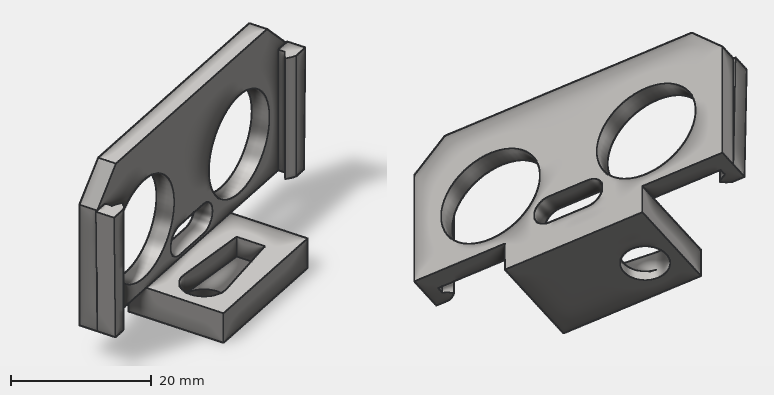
import cadquery as cq
import math

plate_thickness = 3.0
plate_width = 51.5
plate_top = 30.55
plate_bottom = 5.0
corner_chamfer = 5.1

window_diameter = 16.5
window_spacing = 26.0
window_height = 15.3
slot_length = 11.45
slot_height = 5.0
slot_center_height = 8.05

foot_depth = 15.8
foot_width = 23.0
foot_center_y = -0.9

keyhole_x = 9.35
keyhole_y = -7.05
keyhole_diameter = 7.1
pocket_end_y = 5.7
pocket_end_width = 4.7
pocket_depth = 3.35

overall_width = 52.25
rail_top = plate_top - corner_chamfer
rail_depth = 3.05
rail_width = 2.5
barb_start = 1.15
barb_height = 1.4
barb_bulge = 0.1


def make_plate():
    """Plate with chamfered upper corners, flush foot front, windows and slot."""
    half = plate_width / 2
    shoulder = half - corner_chamfer
    foot_min_y = foot_center_y - foot_width / 2
    foot_max_y = foot_center_y + foot_width / 2
    outline = [
        (foot_min_y, 0),
        (foot_max_y, 0),
        (foot_max_y, plate_bottom),
        (half, plate_bottom),
        (half, rail_top),
        (shoulder, plate_top),
        (-shoulder, plate_top),
        (-half, rail_top),
        (-half, plate_bottom),
        (foot_min_y, plate_bottom),
    ]
    plate = cq.Workplane("YZ").polyline(outline).close().extrude(plate_thickness)
    windows = (
        cq.Workplane("YZ")
        .pushPoints([(-window_spacing / 2, window_height), (window_spacing / 2, window_height)])
        .circle(window_diameter / 2)
        .extrude(plate_thickness)
    )
    slot = (
        cq.Workplane("YZ")
        .center(0, slot_center_height)
        .slot2D(slot_length, slot_height)
        .extrude(plate_thickness)
    )
    return plate.cut(windows).cut(slot)


def make_foot():
    """Foot block with the keyhole cut into it."""
    foot = cq.Workplane("XY", origin=(0, foot_center_y, 0)).box(
        foot_depth, foot_width, plate_bottom, centered=(False, True, False)
    )
    radius = keyhole_diameter / 2
    length = pocket_end_y - keyhole_y
    reach = math.hypot(length, pocket_end_width / 2)
    angle = math.acos(radius / reach) - math.atan2(length, pocket_end_width / 2)
    tangent_x = radius * math.cos(angle)
    tangent_y = keyhole_y - radius * math.sin(angle)
    pocket = (
        cq.Workplane("XY", origin=(keyhole_x, 0, plate_bottom - pocket_depth))
        .polyline(
            [
                (-tangent_x, tangent_y),
                (tangent_x, tangent_y),
                (pocket_end_width / 2, pocket_end_y),
                (-pocket_end_width / 2, pocket_end_y),
            ]
        )
        .close()
        .extrude(pocket_depth)
    )
    hole = cq.Workplane("XY").center(keyhole_x, keyhole_y).circle(radius).extrude(plate_bottom)
    return foot.cut(pocket).cut(hole)


def rail_section(height, outer_y):
    """Closed hook profile at one height, with its outer face at outer_y."""
    inner_y = overall_width / 2 - rail_width
    tip_y = inner_y - barb_height
    barb_width = rail_depth - barb_start
    tip_x = barb_start + barb_width / 2
    flank_y = (inner_y + tip_y) / 2
    near_flank_x = barb_start + barb_width / 4 - barb_bulge
    far_flank_x = rail_depth - barb_width / 4 + barb_bulge
    return (
        cq.Workplane("XY", origin=(plate_thickness, 0, height))
        .moveTo(0, outer_y)
        .lineTo(0, inner_y)
        .lineTo(barb_start, inner_y)
        .threePointArc((near_flank_x, flank_y), (tip_x, tip_y))
        .threePointArc((far_flank_x, flank_y), (rail_depth, inner_y))
        .lineTo(rail_depth, outer_y)
        .close()
        .wire()
        .val()
    )


def make_rail():
    """Rail on the +Y side, its outer face leaning from flush with the plate to the full width."""
    lower = rail_section(plate_bottom, plate_width / 2)
    upper = rail_section(rail_top, overall_width / 2)
    return cq.Workplane(cq.Solid.makeLoft([lower, upper], True))


rail = make_rail()
result = make_plate().union(make_foot()).union(rail).union(rail.mirror("XZ"))